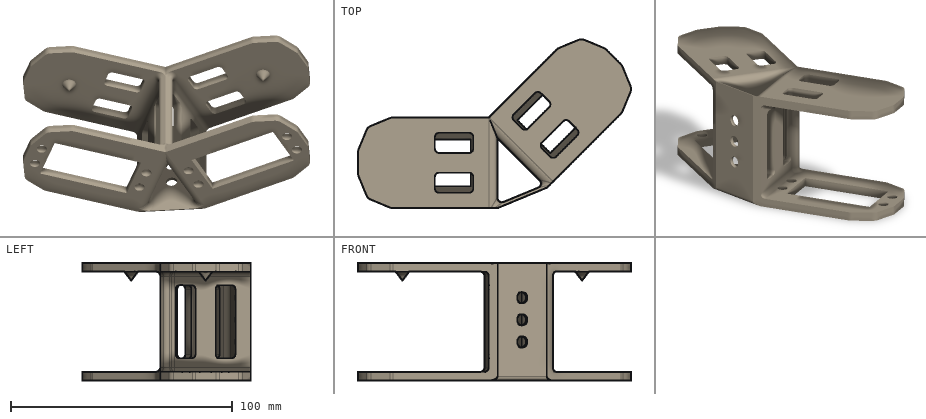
import cadquery as cq
import math


HEIGHT = 53.0
BRACKET_WIDTH = 40.9
BRACKET_LENGTH = 59.0
THICKNESS = 4.0
BEND_ANGLE = 45.0
BRACKET_MIDDLE = -BRACKET_WIDTH / 2
MID_HEIGHT = HEIGHT / 2

TIP_CORNER_RADIUS = 15.0
TIP_EDGE_ROUND = 3.7

POCKET_FILLET = 2.0
WEB_CORNER_RADIUS = 2.0
WEB_BOTTOM_FILLET = 1.8
WEB_THICKNESS = 1.6

SLOT_WIDTH = 9.0
SLOT_PITCH = 18.0
SLOT_CORNER_RADIUS = 1.8
PLATE_SLOT_LENGTH = 17.2
PLATE_SLOT_X = -15.6
WALL_SLOT_HEIGHT = 32.9

SERVO_X = -28.7
SERVO_LENGTH = 41.0
SERVO_WIDTH = 20.9
SCREW_DIAMETER = 4.5
SCREW_SPAN = 49.6
SCREW_PITCH = 9.9
PIVOT_X = -38.9
PIVOT_RADIUS = 3.1
PIVOT_HEIGHT = 4.1

WEB_HOLE_DIAMETER = 5.0
WEB_HOLE_PITCH = 10.0
WEB_HOLE_MIDDLE_Z = 27.3

OVERCUT = 6.2


def opposite(shape):
    """Place a copy of a left-bracket shape on the other bracket."""
    return shape.mirror("YZ").rotate((0, 0, 0), (0, 0, 1), BEND_ANGLE)


def opposite_point(x, y):
    """Place a left-bracket point on the other bracket."""
    angle = math.radians(BEND_ANGLE)
    return (-x * math.cos(angle) - y * math.sin(angle), -x * math.sin(angle) + y * math.cos(angle))


def both(shape):
    return shape.union(opposite(shape))


def bracket_block():
    """Solid bracket outline; each tip corner is two flats spanning a quarter circle."""
    flat_setback = TIP_CORNER_RADIUS * (1 - math.sqrt(0.5))
    half_outline = [
        (-BRACKET_LENGTH + TIP_CORNER_RADIUS, 0),
        (-BRACKET_LENGTH + flat_setback, -flat_setback),
        (-BRACKET_LENGTH, -TIP_CORNER_RADIUS),
    ]
    mirrored_half = [(x, -BRACKET_WIDTH - y) for x, y in reversed(half_outline)]
    outline = [(0, 0)] + half_outline + mirrored_half + [(0, -BRACKET_WIDTH)]
    block = cq.Workplane("XY").polyline(outline).close().extrude(HEIGHT)
    tip_edges = cq.selectors.BoxSelector(
        (-BRACKET_LENGTH - 1.2, -BRACKET_WIDTH - 1.2, 0),
        (-BRACKET_LENGTH / 2, 1.2, HEIGHT),
    )
    return block.edges("|Z").edges(tip_edges).fillet(TIP_EDGE_ROUND)


WEB_LEFT = (THICKNESS, -BRACKET_WIDTH)
WEB_RIGHT = opposite_point(*WEB_LEFT)
WEB_MIDDLE = ((WEB_LEFT[0] + WEB_RIGHT[0]) / 2, (WEB_LEFT[1] + WEB_RIGHT[1]) / 2)
WEB_SLOPE = BEND_ANGLE / 2


def web_outline_block():
    """Solid filling the back walls and the web, rounded along the web's lower outer edge."""
    outline = [
        (0, 0),
        (0, -BRACKET_WIDTH),
        WEB_LEFT,
        WEB_RIGHT,
        opposite_point(0, -BRACKET_WIDTH),
    ]
    block = cq.Workplane("XY").polyline(outline).close().extrude(HEIGHT)
    lower_outer_edge = cq.selectors.NearestToPointSelector((*WEB_MIDDLE, 0))
    return block.edges(lower_outer_edge).fillet(WEB_BOTTOM_FILLET)


def slot_pair(plane, length, depth):
    """Two round-cornered slots, one on each side of the bracket's middle."""
    return (
        cq.Workplane(plane)
        .pushPoints([(0, -SLOT_PITCH / 2), (0, SLOT_PITCH / 2)])
        .placeSketch(cq.Sketch().rect(length, SLOT_WIDTH).vertices().fillet(SLOT_CORNER_RADIUS))
        .extrude(depth)
    )


def rounded_wall(thickness, edges, bottom=0):
    """Wall along X whose front face is Y = thickness; the chosen edges are rounded over the thickness.

    Extra depth behind Y = 0 leaves room for the rounding.
    """
    length = 3 * BRACKET_WIDTH
    size = (length, thickness + OVERCUT, HEIGHT - bottom)
    wall = cq.Workplane("XY").box(*size, centered=(True, False, False))
    return wall.translate((0, -OVERCUT, bottom)).edges(edges).fillet(thickness)


def hollow_web():
    """Back walls and web around a triangular hollow, its rims rounded except below the web."""
    back_wall = rounded_wall(THICKNESS, "|X and >Y").rotate((0, 0, 0), (0, 0, 1), -90)
    wall_plane = cq.Plane(origin=(-OVERCUT, BRACKET_MIDDLE, MID_HEIGHT), xDir=(0, 0, 1), normal=(1, 0, 0))
    back_wall = back_wall.cut(slot_pair(wall_plane, WALL_SLOT_HEIGHT, THICKNESS + OVERCUT))

    web_wall = rounded_wall(WEB_THICKNESS, ">Y and >Z", bottom=-OVERCUT)
    web_wall = web_wall.rotate((0, 0, 0), (0, 0, 1), WEB_SLOPE)
    web_wall = web_wall.translate((*WEB_MIDDLE, 0))
    walls = both(back_wall).union(web_wall)

    slope = math.radians(WEB_SLOPE)
    left_corner = (THICKNESS, -BRACKET_WIDTH + WEB_THICKNESS / math.cos(slope))
    for x, y in (left_corner, opposite_point(*left_corner)):
        corner_edge = cq.selectors.NearestToPointSelector((x, y, MID_HEIGHT))
        walls = walls.edges("|Z").edges(corner_edge).fillet(WEB_CORNER_RADIUS)
    return web_outline_block().intersect(walls)


def pocket():
    """Space between the plates of the left bracket, rounded where it meets the back walls."""
    diagonal = THICKNESS * math.sqrt(0.5)
    wall_corner_y = -THICKNESS * math.sqrt(2)
    outline = [
        (0, -BRACKET_WIDTH - OVERCUT),
        (0, wall_corner_y),
        (-diagonal, -diagonal),
        (OVERCUT, OVERCUT),
        (-BRACKET_LENGTH - OVERCUT, OVERCUT),
        (-BRACKET_LENGTH - OVERCUT, -BRACKET_WIDTH - OVERCUT),
    ]
    prism = (
        cq.Workplane("XY", origin=(0, 0, THICKNESS))
        .polyline(outline)
        .close()
        .extrude(HEIGHT - 2 * THICKNESS)
    )
    wall_edges = cq.selectors.BoxSelector(
        (-THICKNESS, 1.5 * wall_corner_y, 0),
        (1.2, -1.2, HEIGHT),
    )
    prism = prism.edges("|Z").edges(wall_edges).fillet(POCKET_FILLET)
    rim_edges = cq.selectors.BoxSelector(
        (-THICKNESS, -BRACKET_WIDTH, 0),
        (OVERCUT, OVERCUT - 1.2, HEIGHT),
    )
    return prism.edges("#Z").edges(rim_edges).fillet(POCKET_FILLET)


def bracket_cuts():
    """Everything cut out of the left bracket except its pocket and the slots in its back wall."""
    plate_plane = cq.Plane(origin=(PLATE_SLOT_X, BRACKET_MIDDLE, HEIGHT - THICKNESS))
    plate_slots = slot_pair(plate_plane, PLATE_SLOT_LENGTH, THICKNESS)

    servo_plane = cq.Workplane("XY", origin=(SERVO_X, BRACKET_MIDDLE, 0))
    servo_opening = servo_plane.rect(SERVO_LENGTH, SERVO_WIDTH).extrude(THICKNESS)
    screw_holes = (
        servo_plane.rect(SCREW_SPAN, SCREW_PITCH, forConstruction=True)
        .vertices()
        .circle(SCREW_DIAMETER / 2)
        .extrude(THICKNESS + POCKET_FILLET)
    )
    return plate_slots.union(servo_opening).union(screw_holes)


def pivot_cone():
    """Pointed pivot hanging under the upper plate of the left bracket."""
    cone = cq.Solid.makeCone(
        PIVOT_RADIUS,
        0,
        PIVOT_HEIGHT,
        pnt=cq.Vector(PIVOT_X, BRACKET_MIDDLE, HEIGHT - THICKNESS),
        dir=cq.Vector(0, 0, -1),
    )
    return cq.Workplane("XY").add(cone)


def web_holes():
    """Row of holes square to the web, spaced along the height."""
    slope = math.radians(WEB_SLOPE)
    plane = cq.Plane(
        origin=(*WEB_MIDDLE, WEB_HOLE_MIDDLE_Z),
        xDir=(math.cos(slope), math.sin(slope), 0),
        normal=(math.sin(slope), -math.cos(slope), 0),
    )
    return (
        cq.Workplane(plane)
        .pushPoints([(0, -WEB_HOLE_PITCH), (0, 0), (0, WEB_HOLE_PITCH)])
        .circle(WEB_HOLE_DIAMETER / 2)
        .extrude(-2 * WEB_THICKNESS)
    )


body = both(bracket_block()).union(hollow_web())
body = body.cut(pocket()).cut(opposite(pocket()))
body = body.cut(bracket_cuts()).cut(opposite(bracket_cuts()))
body = body.cut(web_holes())
result = body.union(pivot_cone()).union(opposite(pivot_cone()))